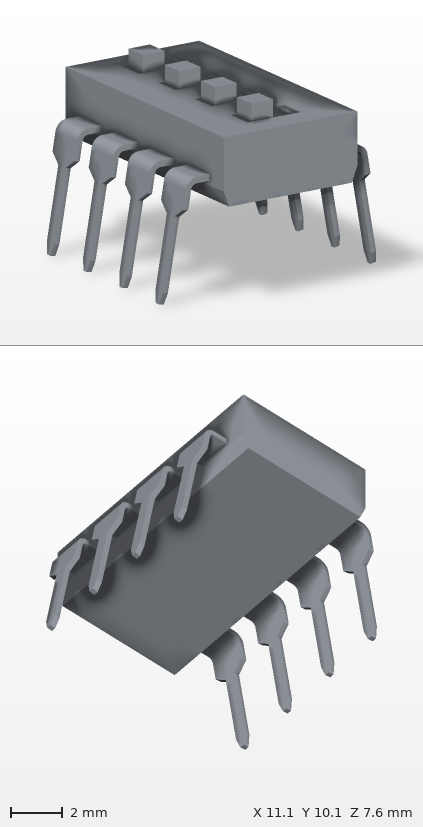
import cadquery as cq
import math

body_length = 11.1
body_width = 6.2
body_height = 2.85
bevel_height = 0.65
bevel_inset = 0.25

switch_count = 4
pitch = 2.54
switch_xs = [(i - (switch_count - 1) / 2) * pitch for i in range(switch_count)]

knob_size = 1.0
knob_height = 0.7
travel_length = 2 * knob_size

window_width = 1.2
ledge_length = 0.25
window_length = travel_length + 2 * ledge_length
ledge_depth = 0.1
window_depth = 0.3

lead_span = 10.09
lead_thickness = 0.25
lead_top = 1.1
lead_bottom = -4.05
lead_splay = math.radians(10)
bend_outer_radius = 0.5
shoulder_width = 1.54
pin_width = 0.51
tip_width = 0.2
tip_length = 0.5
pin_length = 3.05
shoulder_taper_length = 0.4

bend_angle = math.pi / 2 - lead_splay
bend_inner_radius = bend_outer_radius - lead_thickness
bend_center_z = lead_top - bend_outer_radius
bend_end_z = bend_center_z + bend_outer_radius * math.cos(bend_angle)
leg_end_z = lead_bottom + lead_thickness * math.sin(lead_splay)
leg_length = (bend_end_z - leg_end_z) / math.cos(lead_splay)
bend_end_y = lead_span / 2 - leg_length * math.sin(lead_splay)
bend_center_y = bend_end_y - bend_outer_radius * math.sin(bend_angle)


def make_body():
    half_width = body_width / 2
    base_half_width = half_width - bevel_inset
    return (
        cq.Workplane("YZ")
        .polyline([
            (-base_half_width, 0),
            (base_half_width, 0),
            (half_width, bevel_height),
            (half_width, body_height),
            (-half_width, body_height),
            (-half_width, bevel_height),
        ])
        .close()
        .extrude(body_length / 2, both=True)
    )


def make_window(x):
    """Shallow window with a deeper slot along the knob's travel."""
    top = cq.Workplane("XY", origin=(x, 0, body_height))
    shallow = top.rect(window_width, window_length).extrude(-ledge_depth)
    deep = top.rect(window_width, travel_length).extrude(-window_depth)
    return shallow.union(deep)


def make_knob(x):
    floor_z = body_height - window_depth
    return (
        cq.Workplane("XY", origin=(x, -knob_size / 2, floor_z))
        .rect(knob_size, knob_size)
        .extrude(window_depth + knob_height)
    )


def bend_point(radius, angle):
    """Point on the bend, with the angle measured from straight up towards +Y."""
    return (bend_center_y + radius * math.sin(angle), bend_center_z + radius * math.cos(angle))


def make_lead(x):
    """Lead on the +Y side: flat root and bend, then the outlined leg."""
    root_y = body_width / 2
    root = (
        cq.Workplane("YZ", origin=(x, 0, 0))
        .moveTo(root_y, lead_top)
        .lineTo(*bend_point(bend_outer_radius, 0))
        .threePointArc(
            bend_point(bend_outer_radius, bend_angle / 2),
            bend_point(bend_outer_radius, bend_angle),
        )
        .lineTo(*bend_point(bend_inner_radius, bend_angle))
        .threePointArc(
            bend_point(bend_inner_radius, bend_angle / 2),
            bend_point(bend_inner_radius, 0),
        )
        .lineTo(root_y, lead_top - lead_thickness)
        .close()
        .extrude(shoulder_width / 2, both=True)
    )

    leg_plane = cq.Plane(
        origin=(x, bend_end_y, bend_end_z),
        xDir=(1, 0, 0),
        normal=(0, -math.cos(lead_splay), -math.sin(lead_splay)),
    )
    tip_start = -(leg_length - tip_length)
    pin_start = tip_start + pin_length
    shoulder_end = pin_start + shoulder_taper_length
    right_side = [
        (shoulder_width / 2, 0),
        (shoulder_width / 2, shoulder_end),
        (pin_width / 2, pin_start),
        (pin_width / 2, tip_start),
        (tip_width / 2, -leg_length),
    ]
    left_side = [(-px, py) for px, py in reversed(right_side)]
    leg = cq.Workplane(leg_plane).polyline(right_side + left_side).close().extrude(lead_thickness)
    return root.union(leg)


result = make_body()
for switch_x in switch_xs:
    lead = make_lead(switch_x)
    result = result.cut(make_window(switch_x))
    result = result.union(make_knob(switch_x))
    result = result.union(lead).union(lead.mirror("XZ"))